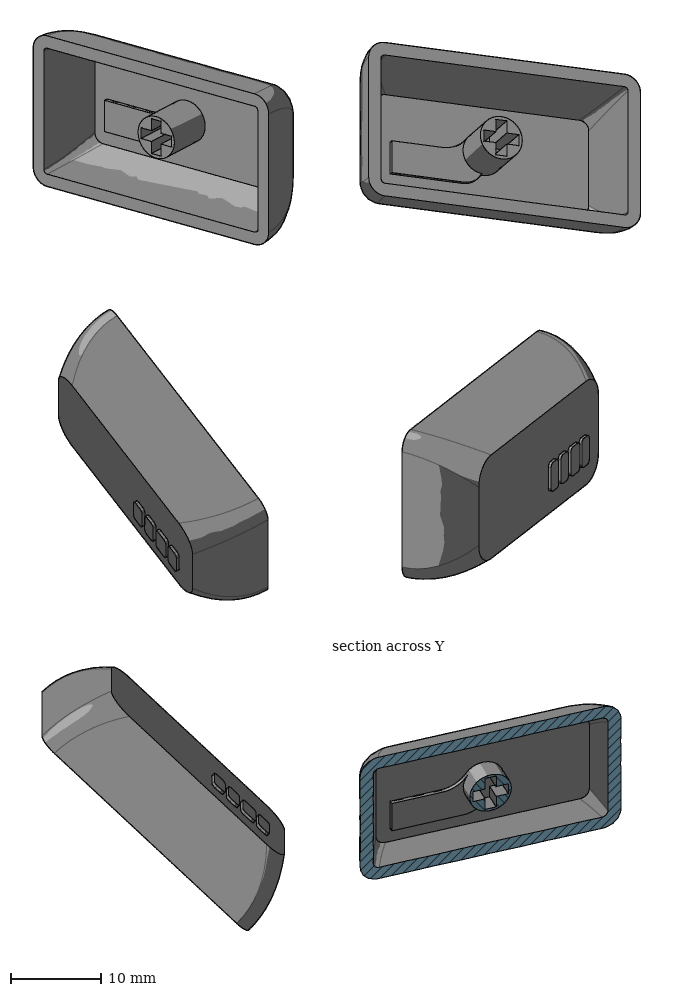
import cadquery as cq
import math


LENGTH = 32.4
HEIGHT = 18.1
SHELL_DEPTH = 8.3
OUTER_INSET = 2.65
RIM_CORNER = 1.95
CORNER_GROWTH = 0.32
WALL = 1.5
INNER_INSET = 2.05
CAVITY_DEPTH = SHELL_DEPTH - WALL
SECTION_COUNT = 5

STEM_DIAMETER = 5.0
STEM_RADIUS = STEM_DIAMETER / 2
STEM_SETBACK = 1.0
CROSS_SPAN = 4.18
CROSS_ARM = 1.3

RUNNER_THICKNESS = 0.5
RUNNER_END_X = -10.98
RUNNER_TOP_Z = 0.0
RUNNER_BOTTOM_Z = -3.75
UPPER_ARC_RADIUS = 1.5 * STEM_RADIUS
LOWER_ARC_RADIUS = STEM_RADIUS
LOWER_ARC_START_X = -2.4

LETTERS = [(-9.98, 1.72), (-7.68, 2.05), (-5.28, 1.72), (-3.05, 1.72)]
LETTER_CENTER_Z = (RUNNER_TOP_Z + RUNNER_BOTTOM_Z) / 2
LETTER_HEIGHT = 3.55
LETTER_CORNER = 0.5
LETTER_RISE = 0.35


def plane_at(y):
    """Sketch plane at this Y: local x is X, local y is Z, normal is -Y."""
    return cq.Workplane("XZ", origin=(0, y, 0))


def extrude(sketch, distance):
    """Extrude a sketch made on plane_at() toward +Y."""
    return sketch.extrude(-distance)


def rounded_section(y, length, height, radius):
    """Rounded rectangle across Y, as a sketch to place on plane_at(0)."""
    outline = cq.Sketch().rect(length, height).vertices().fillet(radius)
    return outline.moved(cq.Location(cq.Vector(0, 0, -y)))


def domed_solid(length, height, depth, inset, corner):
    """Rounded block whose sides start square to the rim and curve inward along an arc."""
    arc_radius = (depth**2 + inset**2) / (2 * inset)
    sections = []
    for i in range(SECTION_COUNT):
        y = depth * i / (SECTION_COUNT - 1)
        lean = arc_radius - math.sqrt(arc_radius**2 - y**2)
        radius = corner + CORNER_GROWTH * lean
        sections.append(rounded_section(y, length - 2 * lean, height - 2 * lean, radius))
    return plane_at(0).placeSketch(*sections).loft()


def make_letters():
    """Letter blocks from the cavity floor to above the roof."""
    letters = cq.Workplane()
    for center_x, width in LETTERS:
        block = extrude(
            plane_at(CAVITY_DEPTH).center(center_x, LETTER_CENTER_Z).rect(width, LETTER_HEIGHT),
            WALL + LETTER_RISE,
        )
        letters = letters.add(block.edges("|Y").fillet(LETTER_CORNER))
    return letters.combine()


def make_shell(letters):
    """Curved shell with a curved cavity and openings for the letters."""
    outer = domed_solid(LENGTH, HEIGHT, SHELL_DEPTH, OUTER_INSET, RIM_CORNER)
    cavity = domed_solid(
        LENGTH - 2 * WALL, HEIGHT - 2 * WALL, CAVITY_DEPTH, INNER_INSET, RIM_CORNER - WALL
    )
    return outer.cut(cavity).cut(letters)


def make_runner():
    """Flat strip behind the letters, flaring into the stem by two arcs."""
    centers_apart = UPPER_ARC_RADIUS + STEM_RADIUS
    upper_center_z = RUNNER_TOP_Z + UPPER_ARC_RADIUS
    upper_center_x = -math.sqrt(centers_apart**2 - upper_center_z**2)
    stem_share = STEM_RADIUS / centers_apart
    upper_end = (upper_center_x * stem_share, upper_center_z * stem_share)

    lower_end = (LOWER_ARC_START_X + LOWER_ARC_RADIUS, RUNNER_BOTTOM_Z + LOWER_ARC_RADIUS)

    outline = (
        plane_at(CAVITY_DEPTH - RUNNER_THICKNESS)
        .moveTo(*upper_end)
        .radiusArc((upper_center_x, RUNNER_TOP_Z), UPPER_ARC_RADIUS)
        .lineTo(RUNNER_END_X, RUNNER_TOP_Z)
        .lineTo(RUNNER_END_X, RUNNER_BOTTOM_Z)
        .lineTo(LOWER_ARC_START_X, RUNNER_BOTTOM_Z)
        .radiusArc(lower_end, -LOWER_ARC_RADIUS)
        .close()
    )
    return extrude(outline, RUNNER_THICKNESS)


def make_stem():
    """Round stem standing on the cavity floor, with a cross socket in its end."""
    stem_length = CAVITY_DEPTH - STEM_SETBACK
    socket_depth = stem_length - RUNNER_THICKNESS
    stem_end = plane_at(STEM_SETBACK)
    stem = extrude(stem_end.circle(STEM_RADIUS), stem_length)
    level_arm = extrude(stem_end.rect(CROSS_SPAN, CROSS_ARM), socket_depth)
    upright_arm = extrude(stem_end.rect(CROSS_ARM, CROSS_SPAN), socket_depth)
    return stem.cut(level_arm).cut(upright_arm)


def make_legend(letters):
    """Stem, runner and letters as one solid."""
    return make_stem().union(make_runner()).union(letters)


letter_blocks = make_letters()
shell = make_shell(letter_blocks)
legend = make_legend(letter_blocks)

result = cq.Compound.makeCompound([shell.solids().val(), legend.solids().val()])